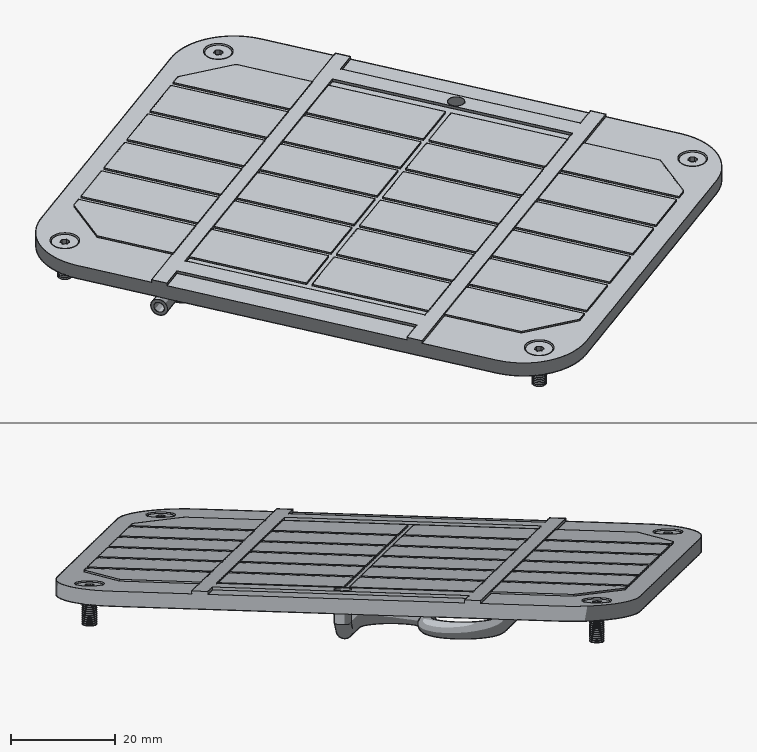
import cadquery as cq
import math

PANEL_LENGTH = 113.0
PANEL_WIDTH = 89.0
PANEL_CORNER_RADIUS = 13.0
PANEL_THICKNESS = 2.9

CELL_COLUMNS = 2
CELL_ROWS = 6
CELL_GAP = 1.1
CELL_HEIGHT = 0.3
CELL_ARRAY_LENGTH = 104.9
CELL_ARRAY_WIDTH = 67.3
CELL_ROW_PITCH = 11.2
CELL_CORNER_CHAMFER = 8.5

FRAME_HEIGHT = 0.6
FRAME_OUTER_LENGTH = 56.0
FRAME_BAR_WIDTH = 3.2
CROSSBAR_INNER_SPAN = 71.4
CROSSBAR_WIDTH = 4.0

SCREW_X = 49.2
SCREW_Y = 37.2
SCREW_HEAD_DIAMETER = 5.2
SCREW_HEAD_SINK = 0.2
SCREW_DIAMETER = 2.8
SCREW_ROOT_DIAMETER = 2.4
SCREW_THREAD_PITCH = 0.4
SCREW_THREAD_TURNS = 14
SCREW_TIP_Z = -5.1
SCREW_CLEARANCE_DIAMETER = 3.2
SOCKET_ACROSS_FLATS = 1.6
SOCKET_DEPTH = 1.1
SOCKET_ROTATION = 30

CABLE_DIAMETER = 3.3
CABLE_AXIS_Z = -4.7
CABLE_ENTRY_Y = 37.5
CABLE_INSERTION = 1.0
ELBOW_OFFSET = 1.7
MEANDER_RADIUS = 7.0
MEANDER_Y = 25.1

CONNECTOR_X = -4 * MEANDER_RADIUS
SLEEVE_BACK_Y = -10.2
SLEEVE_BACK_DIAMETER = 5.1
SLEEVE_FRONT_DIAMETER = 5.4
SLEEVE_LENGTH = 6.8
BODY_DIAMETER = 7.5
BODY_LENGTH = 15.5
SHOULDER_LENGTH = 1.5
SHOULDER_DIAMETER = 6.1
SHOULDER_RADIUS = 1.9
RING_RADIUS = 0.8
RING_PITCH = 2.4
RING_FRONT_MARGIN = 1.6
TIP_DIAMETER = 3.5
TIP_LENGTH = 8.5
BORE_DIAMETER = 2.1
BORE_DEPTH = 4.5
INNER_BORE_DIAMETER = 1.5
INNER_BORE_DEPTH = 6.8


def block(length, width, height, x=0.0, y=0.0, z=0.0):
    """Box centred on (x, y) and standing on height z."""
    return cq.Workplane("XY", origin=(x, y, z)).box(length, width, height, centered=(True, True, False))


def screw_positions():
    return [(sx * SCREW_X, sy * SCREW_Y) for sx in (-1, 1) for sy in (-1, 1)]


def cell_array():
    """Raised cells: a chamfered rectangle divided by narrow gaps."""
    array = block(CELL_ARRAY_LENGTH, CELL_ARRAY_WIDTH, CELL_HEIGHT, z=PANEL_THICKNESS)
    array = array.edges("|Z").chamfer(CELL_CORNER_CHAMFER)
    for column in range(1, CELL_COLUMNS):
        x = (column / CELL_COLUMNS - 0.5) * CELL_ARRAY_LENGTH
        array = array.cut(block(CELL_GAP, CELL_ARRAY_WIDTH, CELL_HEIGHT, x=x, z=PANEL_THICKNESS))
    for row in range(1, CELL_ROWS):
        y = (row - CELL_ROWS / 2) * CELL_ROW_PITCH
        array = array.cut(block(CELL_ARRAY_LENGTH, CELL_GAP, CELL_HEIGHT, y=y, z=PANEL_THICKNESS))
    return array


def frame():
    """Two full-width bars joined by two crossbars."""
    bar_x = (FRAME_OUTER_LENGTH - FRAME_BAR_WIDTH) / 2
    crossbar_y = (CROSSBAR_INNER_SPAN + CROSSBAR_WIDTH) / 2
    pieces = []
    for side in (-1, 1):
        pieces.append(block(FRAME_BAR_WIDTH, PANEL_WIDTH, FRAME_HEIGHT, x=side * bar_x, z=PANEL_THICKNESS))
        pieces.append(block(2 * bar_x, CROSSBAR_WIDTH, FRAME_HEIGHT, y=side * crossbar_y, z=PANEL_THICKNESS))
    bars = pieces[0]
    for piece in pieces[1:]:
        bars = bars.union(piece)
    return bars


def head_cone(top_z):
    """90-degree cone of the screw head, cut off at top_z: returns (bottom_z, top_radius)."""
    head_top_z = PANEL_THICKNESS - SCREW_HEAD_SINK
    top_radius = SCREW_HEAD_DIAMETER / 2 + top_z - head_top_z
    bottom_radius = SCREW_CLEARANCE_DIAMETER / 2
    bottom_z = top_z - (top_radius - bottom_radius)
    return bottom_z, top_radius


def make_panel():
    """Rounded plate with cells and frame, pierced by the cable hole and four countersunk screw holes."""
    panel = block(PANEL_LENGTH, PANEL_WIDTH, PANEL_THICKNESS).edges("|Z").fillet(PANEL_CORNER_RADIUS)
    panel = panel.union(cell_array()).union(frame())

    cable_hole = cq.Workplane("XY").center(0, CABLE_ENTRY_Y).circle(CABLE_DIAMETER / 2)
    panel = panel.cut(cable_hole.extrude(PANEL_THICKNESS + FRAME_HEIGHT))

    cone_bottom_z, cone_radius = head_cone(PANEL_THICKNESS)
    screw_hole = (
        cq.Workplane("XZ")
        .lineTo(SCREW_CLEARANCE_DIAMETER / 2, 0)
        .lineTo(SCREW_CLEARANCE_DIAMETER / 2, cone_bottom_z)
        .lineTo(cone_radius, PANEL_THICKNESS)
        .lineTo(0, PANEL_THICKNESS)
        .close()
        .revolve(360, (0, 0), (0, 1))
    )
    for x, y in screw_positions():
        panel = panel.cut(screw_hole.translate((x, y, 0)))
    return panel


def make_screw(x, y):
    """Countersunk screw with a hexagon socket; the thread is a stack of ring-shaped crests."""
    head_top_z = PANEL_THICKNESS - SCREW_HEAD_SINK
    cone_bottom_z, _ = head_cone(head_top_z)
    major = SCREW_DIAMETER / 2
    root = SCREW_ROOT_DIAMETER / 2

    profile = cq.Workplane("XZ").moveTo(0, SCREW_TIP_Z).lineTo(root, SCREW_TIP_Z)
    for turn in range(SCREW_THREAD_TURNS):
        z = SCREW_TIP_Z + turn * SCREW_THREAD_PITCH
        profile = profile.lineTo(major, z + SCREW_THREAD_PITCH / 2)
        profile = profile.lineTo(root, z + SCREW_THREAD_PITCH)
    screw = (
        profile.lineTo(root, cone_bottom_z)
        .lineTo(SCREW_CLEARANCE_DIAMETER / 2, cone_bottom_z)
        .lineTo(SCREW_HEAD_DIAMETER / 2, head_top_z)
        .lineTo(0, head_top_z)
        .close()
        .revolve(360, (0, 0), (0, 1))
    )
    socket = (
        cq.Workplane("XY", origin=(0, 0, head_top_z - SOCKET_DEPTH))
        .transformed(rotate=(0, 0, SOCKET_ROTATION))
        .polygon(6, SOCKET_ACROSS_FLATS / math.cos(math.pi / 6))
        .extrude(SOCKET_DEPTH)
    )
    return screw.cut(socket).translate((x, y, 0))


def make_cable():
    """Riser out of the panel, bevelled elbow, then a level run with two half-circle bends."""
    radius = CABLE_DIAMETER / 2
    elbow_y = CABLE_ENTRY_Y - ELBOW_OFFSET
    elbow_z = CABLE_AXIS_Z + ELBOW_OFFSET

    riser = cq.Workplane("XY", origin=(0, CABLE_ENTRY_Y, elbow_z)).circle(radius)
    riser = riser.extrude(CABLE_INSERTION - elbow_z)

    elbow = cq.Workplane(
        cq.Solid.makeLoft(
            [
                cq.Wire.makeCircle(radius, cq.Vector(0, CABLE_ENTRY_Y, elbow_z), cq.Vector(0, 0, -1)),
                cq.Wire.makeCircle(radius, cq.Vector(0, elbow_y, CABLE_AXIS_Z), cq.Vector(0, -1, 0)),
            ],
            True,
        )
    )

    route = (
        cq.Workplane("XY", origin=(0, 0, CABLE_AXIS_Z))
        .moveTo(0, elbow_y)
        .lineTo(0, MEANDER_Y)
        .threePointArc((-MEANDER_RADIUS, MEANDER_Y - MEANDER_RADIUS), (-2 * MEANDER_RADIUS, MEANDER_Y))
        .threePointArc((-3 * MEANDER_RADIUS, MEANDER_Y + MEANDER_RADIUS), (CONNECTOR_X, MEANDER_Y))
        .lineTo(CONNECTOR_X, SLEEVE_BACK_Y)
    )
    run = cq.Workplane("XZ", origin=(0, elbow_y, CABLE_AXIS_Z)).circle(radius).sweep(route)
    return riser.union(elbow).union(run)


def make_connector():
    """Revolved plug; the profile runs along -Y from the back of the sleeve to the tip."""
    body = BODY_DIAMETER / 2
    tip = TIP_DIAMETER / 2
    body_back_y = SLEEVE_BACK_Y - SLEEVE_LENGTH
    body_front_y = body_back_y - BODY_LENGTH
    tip_y = body_front_y - TIP_LENGTH

    profile = (
        cq.Workplane("XY")
        .moveTo(0, SLEEVE_BACK_Y)
        .lineTo(SLEEVE_BACK_DIAMETER / 2, SLEEVE_BACK_Y)
        .lineTo(SLEEVE_FRONT_DIAMETER / 2, body_back_y)
        .lineTo(SHOULDER_DIAMETER / 2, body_back_y)
        .radiusArc((body, body_back_y - SHOULDER_LENGTH), SHOULDER_RADIUS)
    )
    front_ring_y = body_front_y + RING_FRONT_MARGIN
    for ring_y in (front_ring_y + RING_PITCH, front_ring_y):
        profile = profile.lineTo(body, ring_y + RING_RADIUS)
        profile = profile.threePointArc((body + RING_RADIUS, ring_y), (body, ring_y - RING_RADIUS))
    plug = (
        profile.lineTo(body, body_front_y)
        .lineTo(tip, body_front_y)
        .lineTo(tip, tip_y)
        .lineTo(0, tip_y)
        .close()
        .revolve(360, (0, 0), (0, 1))
    )
    face = cq.Workplane("XZ", origin=(0, tip_y, 0))
    plug = plug.cut(face.circle(BORE_DIAMETER / 2).extrude(-BORE_DEPTH))
    plug = plug.cut(face.circle(INNER_BORE_DIAMETER / 2).extrude(-INNER_BORE_DEPTH))
    return plug.translate((CONNECTOR_X, 0, CABLE_AXIS_Z))


panel = make_panel()
cable = make_cable()
connector = make_connector()
screws = [make_screw(x, y) for x, y in screw_positions()]

result = cq.Compound.makeCompound(
    [body.solids().val() for body in (panel, cable, connector, *screws)]
)